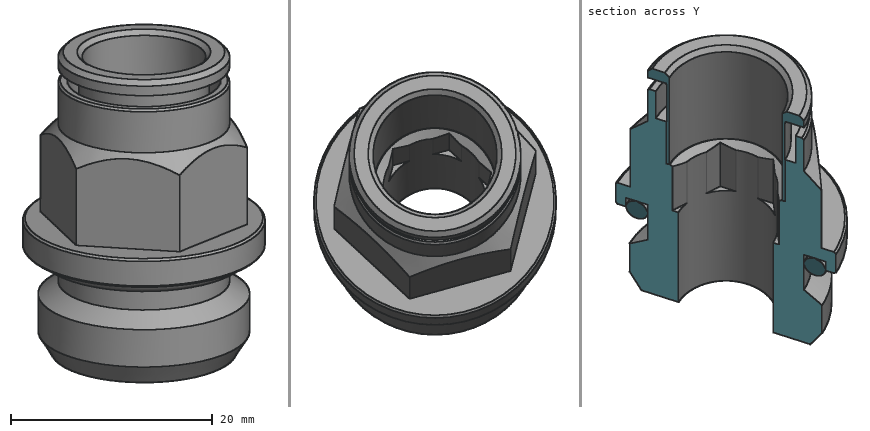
import cadquery as cq
import math

total_height = 31.5
nose_top = 2.1
band_top = 6.05
neck_bottom = 7.4
flange_bottom = 11.0
flange_top = 14.02
shoulder_bottom = 23.97
shoulder_top = 28.5
collar_bottom = 30.0

nose_radius = 18.4 / 2
band_radius = 20.98 / 2
neck_radius = 17.0 / 2
shoulder_radius = neck_radius
flange_radius = 24.0 / 2
edge_chamfer = 0.22
hex_flats = 18.02
hex_chamfer_angle = 45.0

through_radius = 10.3 / 2
socket_flats = 10.02
socket_bottom = 12.6
seat_radius = 12.15 / 2
seat_angle = 30.0
collet_seat = 18.9
seat_bottom = collet_seat - (seat_radius - through_radius) * math.tan(math.radians(seat_angle))
mouth_recess_radius = 15.2 / 2
mouth_recess_depth = 3.78

collet_bore_radius = 12.25 / 2
collet_neck_radius = 12.9 / 2
collar_radius = shoulder_radius
collar_chamfer = 0.5
mouth_radius = 13.23 / 2
mouth_depth = mouth_radius - collet_bore_radius
neck_flare_height = 0.2
neck_flare = 0.05

seal_outer_radius = 10.87
seal_section_radius = (seal_outer_radius - neck_radius) / 2
seal_centre_radius = neck_radius + seal_section_radius
seal_bottom = 9.85
seal_centre_height = seal_bottom + seal_section_radius
seal_groove_top = seal_centre_height + seal_section_radius


def revolve_profile(points):
    """Turn a closed outline of (radius, height) points about the Z axis."""
    return cq.Workplane("XZ").polyline(points).close().revolve(360, (0, 0), (0, 1))


def hex_prism(flats, bottom, top):
    """Upright hexagonal prism with two corners on the X axis."""
    corner_diameter = flats / math.cos(math.pi / 6)
    return cq.Workplane("XY").workplane(offset=bottom).polygon(6, corner_diameter).extrude(top - bottom)


def make_plug_and_flange():
    """Round lower end, with the seal groove under the flange."""
    return revolve_profile([
        (0, 0),
        (nose_radius, 0),
        (band_radius, nose_top),
        (band_radius, band_top),
        (neck_radius, neck_bottom),
        (neck_radius, seal_groove_top),
        (seal_outer_radius, seal_groove_top),
        (seal_outer_radius, flange_bottom),
        (flange_radius - edge_chamfer, flange_bottom),
        (flange_radius, flange_bottom + edge_chamfer),
        (flange_radius, flange_top - edge_chamfer),
        (flange_radius - edge_chamfer, flange_top),
        (0, flange_top),
    ])


def make_chamfered_hexagon():
    """Wrench hexagon whose upper corners are cut by a cone."""
    cone_drop = (flange_radius - shoulder_radius) * math.tan(math.radians(hex_chamfer_angle))
    cone = revolve_profile([
        (0, flange_top),
        (flange_radius, flange_top),
        (flange_radius, shoulder_bottom - cone_drop),
        (shoulder_radius, shoulder_bottom),
        (0, shoulder_bottom),
    ])
    return hex_prism(hex_flats, flange_top, shoulder_bottom).intersect(cone)


def make_shoulder():
    """Round upper end with a chamfered rim."""
    return revolve_profile([
        (0, shoulder_bottom),
        (shoulder_radius, shoulder_bottom),
        (shoulder_radius, shoulder_top - edge_chamfer),
        (shoulder_radius - edge_chamfer, shoulder_top),
        (0, shoulder_top),
    ])


def make_housing_bore():
    """Mouth recess, collet bore, conical seat and through hole."""
    return revolve_profile([
        (0, 0),
        (through_radius, 0),
        (through_radius, seat_bottom),
        (seat_radius, collet_seat),
        (collet_neck_radius, collet_seat),
        (collet_neck_radius, shoulder_top - mouth_recess_depth),
        (mouth_recess_radius, shoulder_top - mouth_recess_depth),
        (mouth_recess_radius, shoulder_top),
        (0, shoulder_top),
    ])


def make_housing():
    outside = make_plug_and_flange().union(make_chamfered_hexagon()).union(make_shoulder())
    hex_socket = hex_prism(socket_flats, socket_bottom, collet_seat)
    return outside.cut(make_housing_bore()).cut(hex_socket).solids()


def make_collet():
    """Release sleeve with a pressing collar at its upper end."""
    return revolve_profile([
        (collet_bore_radius, collet_seat),
        (collet_neck_radius, collet_seat),
        (collet_neck_radius, collar_bottom - neck_flare_height),
        (collet_neck_radius + neck_flare, collar_bottom),
        (collar_radius, collar_bottom),
        (collar_radius, total_height - collar_chamfer),
        (collar_radius - collar_chamfer, total_height),
        (mouth_radius, total_height),
        (collet_bore_radius, total_height - mouth_depth),
    ])


def make_seal():
    """Round-section ring around the housing neck."""
    section = cq.Workplane("XZ").center(seal_centre_radius, seal_centre_height).circle(seal_section_radius)
    return section.revolve(360, (-seal_centre_radius, 0), (-seal_centre_radius, 1))


housing = make_housing()
collet = make_collet()
seal = make_seal()

result = cq.Compound.makeCompound([housing.val(), collet.val(), seal.val()])